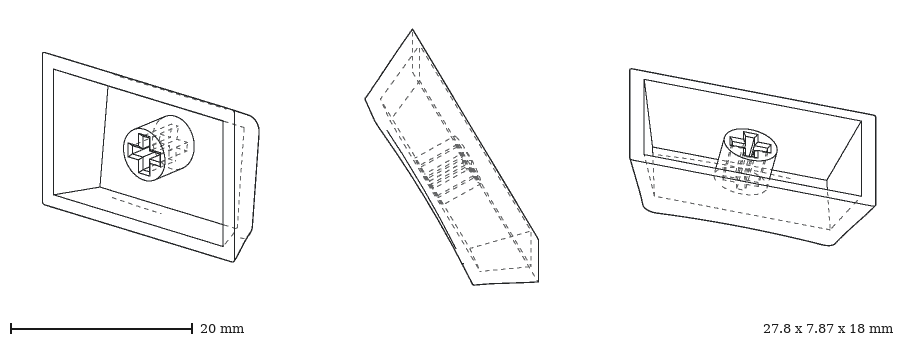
import cadquery as cq

rim_width = 27.8
rim_height = 18.0
side_slope = 0.38
upper_slope = 0.51
back_tilt = 0.11
back_depth = 7.8
rim_corner_radius = 0.35
back_corner_radius = 1.7
section_count = 7

dish_depth = 6.98
dish_radius = 133.5
dish_edge_radius = 0.15

opening_width = 24.53
opening_top = 7.35
cavity_bottom = -7.48
floor_width_top = 19.7
floor_width_bottom = 19.85
floor_top = 4.1
floor_depth_top = 6.4

stem_diameter = 6.0
stem_recess = 1.0
cross_length = 4.65
cross_arm_width = 1.65
cross_chamfer = 0.33


def symmetric_outline(bottom, top):
    """Four-sided wire mirrored about x = 0; each end is (width, y, z)."""
    bottom_width, bottom_y, bottom_z = bottom
    top_width, top_y, top_z = top
    corners = [
        cq.Vector(-bottom_width / 2, bottom_y, bottom_z),
        cq.Vector(bottom_width / 2, bottom_y, bottom_z),
        cq.Vector(top_width / 2, top_y, top_z),
        cq.Vector(-top_width / 2, top_y, top_z),
    ]
    return cq.Wire.makePolygon(corners, close=True)


def shell_section(fraction):
    """Rounded rectangle on a plane hinged between the rim and the back face."""
    tilt = back_tilt * fraction
    depth = back_depth * fraction
    bottom_z = -rim_height / 2
    top_z = (rim_height / 2 - upper_slope * depth) / (1 + upper_slope * tilt)
    bottom_y = depth + tilt * bottom_z
    top_y = depth + tilt * top_z
    width = rim_width - 2 * side_slope * top_y
    outline = symmetric_outline((width, bottom_y, bottom_z), (width, top_y, top_z))
    ease = fraction**2 * (3 - 2 * fraction)
    radius = rim_corner_radius + (back_corner_radius - rim_corner_radius) * ease
    return outline.fillet2D(radius, outline.Vertices())


def make_dish():
    """Cylinder behind the part whose axis follows the tilt of the back face."""
    axis = cq.Vector(0, back_tilt, 1)
    center = cq.Vector(0, dish_depth, 0) + cq.Vector(0, 1, -back_tilt).normalized() * dish_radius
    start = center - axis * rim_height
    return cq.Workplane(cq.Solid.makeCylinder(dish_radius, 2 * rim_height, start, axis))


def make_shell():
    sections = [shell_section(i / (section_count - 1)) for i in range(section_count)]
    shell = cq.Workplane(cq.Solid.makeLoft(sections)).cut(make_dish())
    return shell.faces(">Y").edges().fillet(dish_edge_radius)


def make_cavity():
    """Tapered pocket with a floor parallel to the back face."""
    floor_depth_bottom = floor_depth_top - back_tilt * (floor_top - cavity_bottom)
    opening = symmetric_outline((opening_width, 0, cavity_bottom), (opening_width, 0, opening_top))
    floor = symmetric_outline(
        (floor_width_bottom, floor_depth_bottom, cavity_bottom),
        (floor_width_top, floor_depth_top, floor_top),
    )
    return cq.Workplane(cq.Solid.makeLoft([opening, floor], True))


def cross_outline(y, inset):
    """Cross-shaped wire at depth y, shrunk by inset on every side."""
    tip = cross_length / 2 - inset
    arm = cross_arm_width / 2 - inset
    corners = [
        (-arm, -tip), (arm, -tip), (arm, -arm), (tip, -arm),
        (tip, arm), (arm, arm), (arm, tip), (-arm, tip),
        (-arm, arm), (-tip, arm), (-tip, -arm), (-arm, -arm),
    ]
    return cq.Wire.makePolygon([cq.Vector(x, y, z) for x, z in corners], close=True)


def make_socket():
    """Straight cross passage with a chamfered mouth."""
    chamfer_end = stem_recess + cross_chamfer
    mouth = cross_outline(stem_recess, 0)
    throat = cross_outline(chamfer_end, cross_chamfer)
    end = cross_outline(floor_depth_top, cross_chamfer)
    funnel = cq.Workplane(cq.Solid.makeLoft([mouth, throat], True))
    passage = cq.Workplane(cq.Solid.makeLoft([throat, end], True))
    return funnel.union(passage)


def make_stem():
    """Hollow stem that overlaps the back wall, so the cavity floor closes its socket."""
    stem_face = cq.Workplane("XZ", origin=(0, stem_recess, 0))
    stem = stem_face.circle(stem_diameter / 2).extrude(stem_recess - floor_depth_top)
    return stem.cut(make_socket())


result = make_shell().cut(make_cavity()).union(make_stem())